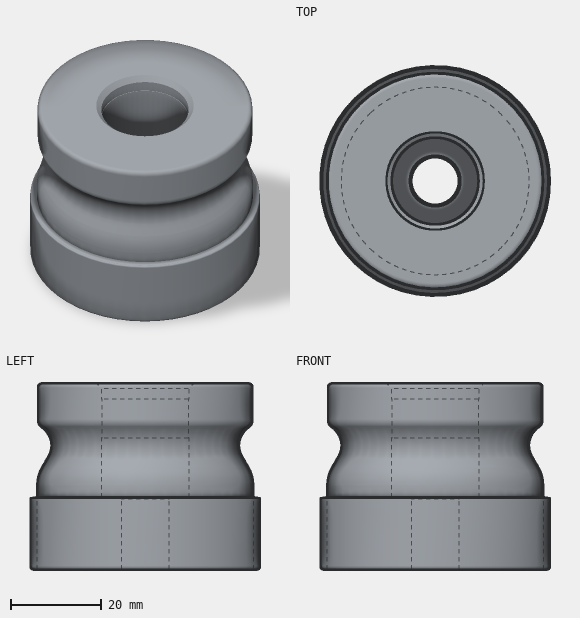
import cadquery as cq
import math

SLEEVE_RADIUS = 25.4
SLEEVE_HEIGHT = 16.1
BOTTOM_FILLET = 0.8
SHOULDER_RADIUS = 25.0
SHOULDER_DROP = 0.2
SHOULDER_EDGE_HEIGHT = 15.6
LIP_RADIUS = 24.25
LIP_DROP = 0.1

TOTAL_HEIGHT = 41.25
CORE_RADIUS = 23.95
HEAD_RADIUS = 23.75
HEAD_TOP_FILLET = 1.0
HEAD_LOWER_FILLET = 2.0
THROAT_RADIUS = 20.8
THROAT_Z = 27.5
GROOVE_ARC_RADIUS = 5.0
SHOULDER_ARC_RADIUS = 8.05
CONE_ANGLE = math.radians(30)

COUNTERBORE_RADIUS = 9.65
COUNTERBORE_CHAMFER = 1.1
LAND_RADIUS = 9.55
LAND_TOP_DEPTH = 3.5
LAND_BOTTOM_DEPTH = 12.1
HOLE_RADIUS = 5.25
HOLE_CHAMFER = 0.4


def on_arc(center, radius, angle):
    """Point (r, z) on a circle, with the angle measured from the +r direction."""
    return (center[0] + radius * math.cos(angle), center[1] + radius * math.sin(angle))


def revolve_profile(profile):
    """Turn a closed (r, z) profile drawn on the XZ plane about the Z axis."""
    return profile.close().revolve(360, (0, 0, 0), (0, 1, 0))


def make_sleeve():
    shoulder_z = SLEEVE_HEIGHT - SHOULDER_DROP
    shoulder_width = SLEEVE_RADIUS - SHOULDER_RADIUS
    rise = shoulder_z - SHOULDER_EDGE_HEIGHT
    edge_radius = (shoulder_width**2 + rise**2) / (2 * shoulder_width)
    edge_center = (SLEEVE_RADIUS - edge_radius, SHOULDER_EDGE_HEIGHT)
    edge_sweep = math.atan2(rise, SHOULDER_RADIUS - edge_center[0])

    fillet_center = (SLEEVE_RADIUS - BOTTOM_FILLET, BOTTOM_FILLET)
    profile = (
        cq.Workplane("XZ")
        .moveTo(CORE_RADIUS, 0)
        .lineTo(fillet_center[0], 0)
        .threePointArc(
            on_arc(fillet_center, BOTTOM_FILLET, -math.pi / 4),
            (SLEEVE_RADIUS, BOTTOM_FILLET),
        )
        .lineTo(SLEEVE_RADIUS, SHOULDER_EDGE_HEIGHT)
        .threePointArc(
            on_arc(edge_center, edge_radius, edge_sweep / 2),
            (SHOULDER_RADIUS, shoulder_z),
        )
        .lineTo(LIP_RADIUS, SLEEVE_HEIGHT - LIP_DROP)
        .lineTo(CORE_RADIUS, SLEEVE_HEIGHT)
    )
    return revolve_profile(profile)


def make_core_blank():
    groove_center = (THROAT_RADIUS + GROOVE_ARC_RADIUS, THROAT_Z)
    cone_top = on_arc(groove_center, GROOVE_ARC_RADIUS, math.pi + CONE_ANGLE)
    cone_bottom_r = CORE_RADIUS - SHOULDER_ARC_RADIUS * (1 - math.cos(CONE_ANGLE))
    cone_bottom_z = cone_top[1] - (cone_bottom_r - cone_top[0]) / math.tan(CONE_ANGLE)
    shoulder_center = (
        CORE_RADIUS - SHOULDER_ARC_RADIUS,
        cone_bottom_z - SHOULDER_ARC_RADIUS * math.sin(CONE_ANGLE),
    )

    center_distance = GROOVE_ARC_RADIUS + HEAD_LOWER_FILLET
    head_center_r = HEAD_RADIUS - HEAD_LOWER_FILLET
    tangent_angle = math.acos((groove_center[0] - head_center_r) / center_distance)
    head_center = (head_center_r, THROAT_Z + center_distance * math.sin(tangent_angle))

    top_center = (HEAD_RADIUS - HEAD_TOP_FILLET, TOTAL_HEIGHT - HEAD_TOP_FILLET)
    profile = (
        cq.Workplane("XZ")
        .lineTo(CORE_RADIUS, 0)
        .lineTo(CORE_RADIUS, shoulder_center[1])
        .threePointArc(
            on_arc(shoulder_center, SHOULDER_ARC_RADIUS, CONE_ANGLE / 2),
            (cone_bottom_r, cone_bottom_z),
        )
        .lineTo(*cone_top)
        .threePointArc(
            (THROAT_RADIUS, THROAT_Z),
            on_arc(groove_center, GROOVE_ARC_RADIUS, math.pi - tangent_angle),
        )
        .threePointArc(
            on_arc(head_center, HEAD_LOWER_FILLET, -tangent_angle / 2),
            (HEAD_RADIUS, head_center[1]),
        )
        .lineTo(HEAD_RADIUS, top_center[1])
        .threePointArc(
            on_arc(top_center, HEAD_TOP_FILLET, math.pi / 4),
            (top_center[0], TOTAL_HEIGHT),
        )
        .lineTo(0, TOTAL_HEIGHT)
    )
    return revolve_profile(profile)


def make_stepped_hole():
    land_top_z = TOTAL_HEIGHT - LAND_TOP_DEPTH
    land_bottom_z = TOTAL_HEIGHT - LAND_BOTTOM_DEPTH
    floor_z = SLEEVE_HEIGHT
    profile = (
        cq.Workplane("XZ")
        .lineTo(HOLE_RADIUS, 0)
        .lineTo(HOLE_RADIUS, floor_z - HOLE_CHAMFER)
        .lineTo(HOLE_RADIUS + HOLE_CHAMFER, floor_z)
        .lineTo(COUNTERBORE_RADIUS, floor_z)
        .lineTo(COUNTERBORE_RADIUS, land_bottom_z)
        .lineTo(LAND_RADIUS, land_bottom_z)
        .lineTo(LAND_RADIUS, land_top_z)
        .lineTo(COUNTERBORE_RADIUS, land_top_z)
        .lineTo(COUNTERBORE_RADIUS, TOTAL_HEIGHT - COUNTERBORE_CHAMFER)
        .lineTo(COUNTERBORE_RADIUS + COUNTERBORE_CHAMFER, TOTAL_HEIGHT)
        .lineTo(0, TOTAL_HEIGHT)
    )
    return revolve_profile(profile)


sleeve = make_sleeve()
core = make_core_blank().cut(make_stepped_hole())

result = cq.Compound.makeCompound([sleeve.val(), core.val()])